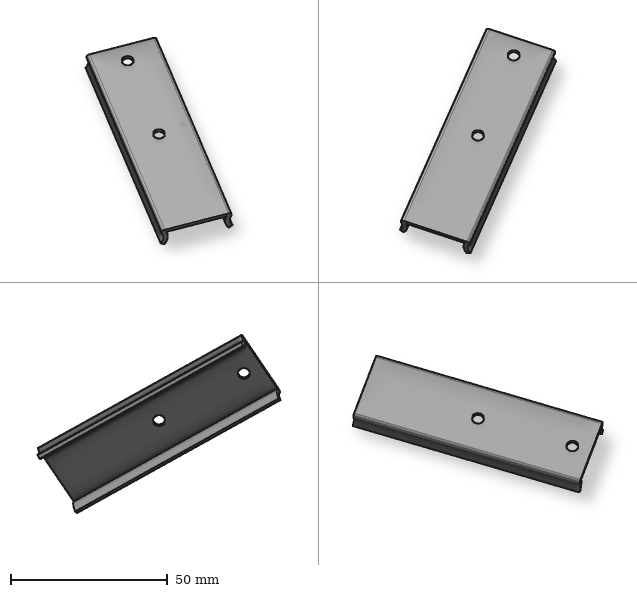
import cadquery as cq
import math

length = 76.2
width = 24.15
height = 7.3

plate_thickness = 1.4
edge_radius = 1.1
edge_width = 23.6

leg_thickness = 1.5
leg_outer_radius = 4.4
leg_inner_radius = leg_outer_radius + leg_thickness
foot_angle = math.radians(38)

hole_diameter = 3.8
end_hole_inset = 6.3
hole_positions = [end_hole_inset - length / 2, 0.0]

edge_center = (edge_width / 2 - edge_radius, -edge_radius)
leg_center = (
    width / 2 + leg_outer_radius * math.cos(foot_angle),
    -height + leg_inner_radius * math.sin(foot_angle),
)


def polar(center, radius, angle):
    """Point on a circle, with the angle measured from +Y towards +Z."""
    return (center[0] + radius * math.cos(angle), center[1] + radius * math.sin(angle))


def edge_leg_angles():
    """Angles, about each centre, of the point where the edge meets the leg's outer face."""
    dy = leg_center[0] - edge_center[0]
    dz = leg_center[1] - edge_center[1]
    distance = math.hypot(dy, dz)
    bearing = math.atan2(dz, dy)
    along = (distance**2 + edge_radius**2 - leg_outer_radius**2) / (2 * distance)
    across = math.sqrt(edge_radius**2 - along**2)
    edge_angle = bearing + math.atan2(across, along)
    leg_angle = bearing + math.pi - math.atan2(across, distance - along)
    return edge_angle, leg_angle


def half_profile():
    """Closed section of the +Y half, from the centre plane outwards."""
    edge_end, leg_start = edge_leg_angles()
    foot = math.pi + foot_angle
    root = math.pi - math.asin((-plate_thickness - leg_center[1]) / leg_inner_radius)
    return (
        cq.Workplane("YZ", origin=(-length / 2, 0, 0))
        .moveTo(0, 0)
        .lineTo(edge_center[0], 0)
        .threePointArc(
            polar(edge_center, edge_radius, (math.pi / 2 + edge_end) / 2),
            polar(edge_center, edge_radius, edge_end),
        )
        .threePointArc(
            polar(leg_center, leg_outer_radius, (leg_start + foot) / 2),
            polar(leg_center, leg_outer_radius, foot),
        )
        .lineTo(*polar(leg_center, leg_inner_radius, foot))
        .threePointArc(
            polar(leg_center, leg_inner_radius, (foot + root) / 2),
            polar(leg_center, leg_inner_radius, root),
        )
        .lineTo(0, -plate_thickness)
        .close()
    )


half = half_profile().extrude(length)
channel = half.union(half.mirror("XZ")).clean()

holes = (
    cq.Workplane("XY")
    .pushPoints([(x, 0) for x in hole_positions])
    .circle(hole_diameter / 2)
    .extrude(-plate_thickness)
)

result = channel.cut(holes)